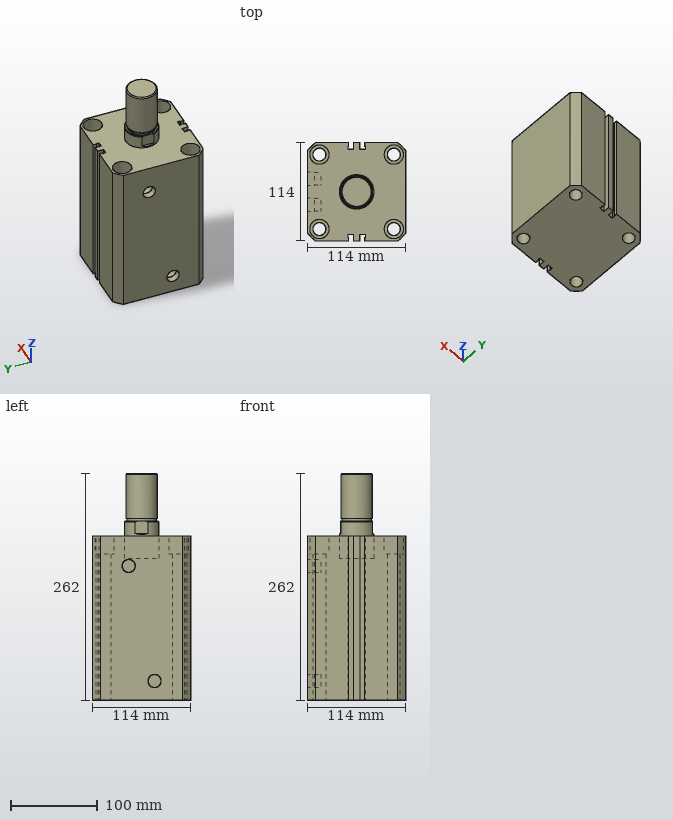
import cadquery as cq

BODY_WIDTH = 114.0
BODY_HEIGHT = 190.0
CORNER_RADIUS = 74.1

HOLE_SPACING = 86.0
HOLE_DIAMETER = 14.7
COUNTERBORE_DIAMETER = 22.3
COUNTERBORE_DEPTH = 21.0

RIB_WIDTH = 7.3
GROOVE_WIDTH = 5.5
GROOVE_DEPTH = 7.5
UNDERCUT_WIDTH = 0.8
UNDERCUT_HEIGHT = 3.1

PORT_MOUTH_DIAMETER = 15.5
PORT_MOUTH_DEPTH = 8.0
PORT_BORE_DIAMETER = 14.7
PORT_DEPTH = 15.7
PORT_OFFSET = 15.0
UPPER_PORT_BELOW_TOP = 34.8
LOWER_PORT_HEIGHT = 22.3

TOTAL_HEIGHT = 262.0
ROD_RADIUS = 20.0
ROD_TOP_ABOVE_BODY = 16.8
ROD_CHAMFER = 0.8
ROD_SOCKET_DEPTH = 26.2
NECK_RADIUS = 17.0
NECK_LENGTH = 3.1
THREAD_RADIUS = 18.0
THREAD_CHAMFER = 1.3

FLAT_SPACING = 37.0
FLAT_START_ABOVE_BODY = 3.0

SOCKET_FLOOR = BODY_HEIGHT - ROD_SOCKET_DEPTH


def block():
    square = cq.Workplane("XY").rect(BODY_WIDTH, BODY_WIDTH).extrude(BODY_HEIGHT)
    round_bar = cq.Workplane("XY").circle(CORNER_RADIUS).extrude(BODY_HEIGHT)
    return square.intersect(round_bar)


def mounting_holes():
    def corner_cylinders(base, diameter, height):
        return (
            cq.Workplane("XY")
            .workplane(offset=base)
            .rect(HOLE_SPACING, HOLE_SPACING, forConstruction=True)
            .vertices()
            .circle(diameter / 2)
            .extrude(height)
        )

    holes = corner_cylinders(0, HOLE_DIAMETER, BODY_HEIGHT)
    counterbore_floor = BODY_HEIGHT - COUNTERBORE_DEPTH
    counterbores = corner_cylinders(counterbore_floor, COUNTERBORE_DIAMETER, COUNTERBORE_DEPTH)
    return holes.union(counterbores)


def sensor_groove():
    """Groove at the +X side of the rib on the -Y face, over the full height."""
    face_y = -BODY_WIDTH / 2
    floor_y = face_y + GROOVE_DEPTH
    inner_x = RIB_WIDTH / 2
    outer_x = inner_x + GROOVE_WIDTH
    return (
        cq.Workplane("XY")
        .moveTo(inner_x, face_y)
        .lineTo(outer_x, face_y)
        .lineTo(outer_x, floor_y - UNDERCUT_HEIGHT)
        .lineTo(outer_x + UNDERCUT_WIDTH, floor_y - UNDERCUT_HEIGHT)
        .lineTo(outer_x + UNDERCUT_WIDTH, floor_y)
        .lineTo(inner_x, floor_y)
        .close()
        .extrude(BODY_HEIGHT)
    )


def port(y, z):
    """Stepped round hole: a shallow mouth followed by a slightly narrower bore."""
    mouth_plane = cq.Workplane("YZ").workplane(offset=-BODY_WIDTH / 2).center(y, z)
    mouth = mouth_plane.circle(PORT_MOUTH_DIAMETER / 2).extrude(PORT_MOUTH_DEPTH)
    bore = mouth_plane.circle(PORT_BORE_DIAMETER / 2).extrude(PORT_DEPTH)
    return mouth.union(bore)


def make_body():
    body = block().cut(mounting_holes())
    right_groove = sensor_groove()
    for groove in (right_groove, right_groove.mirror("YZ")):
        body = body.cut(groove).cut(groove.mirror("XZ"))
    body = body.cut(port(PORT_OFFSET, BODY_HEIGHT - UPPER_PORT_BELOW_TOP))
    body = body.cut(port(-PORT_OFFSET, LOWER_PORT_HEIGHT))
    rod_socket = cq.Workplane("XY").workplane(offset=SOCKET_FLOOR).circle(ROD_RADIUS).extrude(ROD_SOCKET_DEPTH)
    return body.cut(rod_socket)


def wrench_flat():
    """Cutter for the flat on the +X side, sloping outward at its lower end."""
    flat_x = FLAT_SPACING / 2
    start_z = BODY_HEIGHT + FLAT_START_ABOVE_BODY
    top_z = BODY_HEIGHT + ROD_TOP_ABOVE_BODY
    slope = ROD_RADIUS - flat_x
    return (
        cq.Workplane("XZ")
        .moveTo(flat_x, start_z)
        .lineTo(ROD_RADIUS, start_z - slope)
        .lineTo(ROD_RADIUS, top_z)
        .lineTo(flat_x, top_z)
        .close()
        .extrude(ROD_RADIUS, both=True)
    )


def make_rod():
    rod_top = BODY_HEIGHT + ROD_TOP_ABOVE_BODY
    thread_start = rod_top + NECK_LENGTH
    rod = (
        cq.Workplane("XZ")
        .moveTo(0, SOCKET_FLOOR)
        .lineTo(ROD_RADIUS, SOCKET_FLOOR)
        .lineTo(ROD_RADIUS, rod_top - ROD_CHAMFER)
        .lineTo(ROD_RADIUS - ROD_CHAMFER, rod_top)
        .lineTo(NECK_RADIUS, rod_top)
        .lineTo(NECK_RADIUS, thread_start)
        .lineTo(THREAD_RADIUS, thread_start)
        .lineTo(THREAD_RADIUS, TOTAL_HEIGHT - THREAD_CHAMFER)
        .lineTo(THREAD_RADIUS - THREAD_CHAMFER, TOTAL_HEIGHT)
        .lineTo(0, TOTAL_HEIGHT)
        .close()
        .revolve(360, (0, 0, 0), (0, 1, 0))
    )
    flat = wrench_flat()
    return rod.cut(flat).cut(flat.mirror("YZ"))


body = make_body()
rod = make_rod()
result = cq.Compound.makeCompound([body.val(), rod.val()])